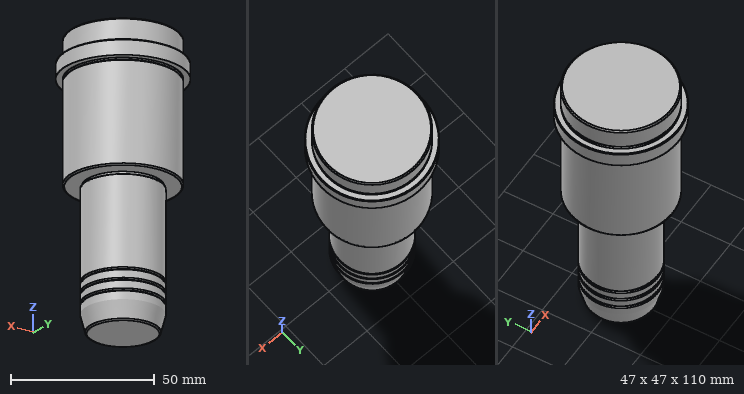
import cadquery as cq

total_height = 110.0
flange_top = 101.0
flange_bottom = 95.0
body_bottom = 55.0
nose_top = 7.0

flange_diameter = 47.0
flange_radius = flange_diameter / 2
body_radius = 21.0
shank_radius = 15.0
nose_radius = 13.2

edge_chamfer = 0.5
flange_chamfer = 0.3
relief_width = 1.1
relief_depth = 0.5

groove_count = 3
groove_pitch = 4.0
lowest_groove = 10.7

groove_width = 1.0
groove_depth = 0.5


def cylinder(radius, bottom, top):
    return cq.Workplane("XY").workplane(offset=bottom).circle(radius).extrude(top - bottom)


def ring_groove(radius, center):
    """Cutter for a V groove around a cylinder of the given radius."""
    return (
        cq.Workplane("XZ")
        .moveTo(radius, center - groove_width / 2)
        .lineTo(radius - groove_depth, center)
        .lineTo(radius, center + groove_width / 2)
        .close()
        .revolve(360, (0, 0, 0), (0, 1, 0))
    )


def make_nose():
    """Straight taper at the bottom of the shank, with a chamfered tip."""
    return (
        cq.Workplane("XZ")
        .lineTo(nose_radius - edge_chamfer, 0)
        .lineTo(nose_radius, edge_chamfer)
        .lineTo(shank_radius, nose_top)
        .lineTo(0, nose_top)
        .close()
        .revolve(360, (0, 0, 0), (0, 1, 0))
    )


def make_shank():
    shank = cylinder(shank_radius, nose_top, body_bottom - relief_width)
    neck = cylinder(shank_radius - relief_depth, body_bottom - relief_width, body_bottom)
    shank = shank.union(neck).union(make_nose())
    for index in range(groove_count):
        center = lowest_groove + index * groove_pitch
        shank = shank.cut(ring_groove(shank_radius, center))
    return shank


def make_body():
    """Main cylinder and head, notched just above and just below the flange."""
    body = cylinder(body_radius, body_bottom, total_height)
    body = body.edges("%CIRCLE").chamfer(edge_chamfer)
    for center in (flange_top + groove_width / 2, flange_bottom - groove_width / 2):
        body = body.cut(ring_groove(body_radius, center))
    return body


def make_flange():
    flange = cylinder(flange_radius, flange_bottom, flange_top)
    return flange.faces(">Z").edges().chamfer(flange_chamfer)


result = make_shank().union(make_body()).union(make_flange())